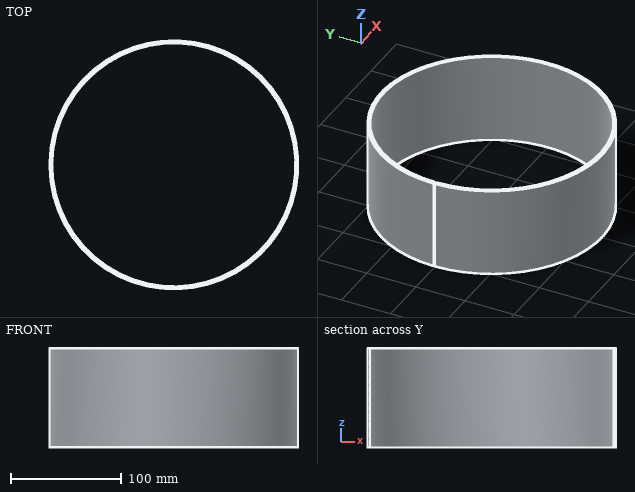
import cadquery as cq

OUTER_DIAMETER = 225.0
WALL_THICKNESS = 2.5
HEIGHT = 90.0
SLIT_WIDTH = 1.5
OUTER_CHAMFER = 0.5
INNER_CHAMFER = 0.2

outer_radius = OUTER_DIAMETER / 2
inner_radius = outer_radius - WALL_THICKNESS


def ring():
    """Thin-walled tube standing on Z = 0, with the rim edges chamfered inside and out."""
    wall_section = (
        cq.Workplane("XZ")
        .moveTo(-outer_radius, OUTER_CHAMFER)
        .lineTo(-outer_radius + OUTER_CHAMFER, 0)
        .lineTo(-inner_radius - INNER_CHAMFER, 0)
        .lineTo(-inner_radius, INNER_CHAMFER)
        .lineTo(-inner_radius, HEIGHT - INNER_CHAMFER)
        .lineTo(-inner_radius - INNER_CHAMFER, HEIGHT)
        .lineTo(-outer_radius + OUTER_CHAMFER, HEIGHT)
        .lineTo(-outer_radius, HEIGHT - OUTER_CHAMFER)
        .close()
    )
    return wall_section.revolve(360, (0, 0, 0), (0, 1, 0))


def slit():
    """Full-height cutter through the -X side of the wall, with one face on the XZ plane."""
    cutter_length = 2 * WALL_THICKNESS
    cutter = cq.Workplane("XY").box(cutter_length, SLIT_WIDTH, HEIGHT, centered=(True, False, False))
    return cutter.translate((-(outer_radius + inner_radius) / 2, 0, 0))


result = ring().cut(slit())